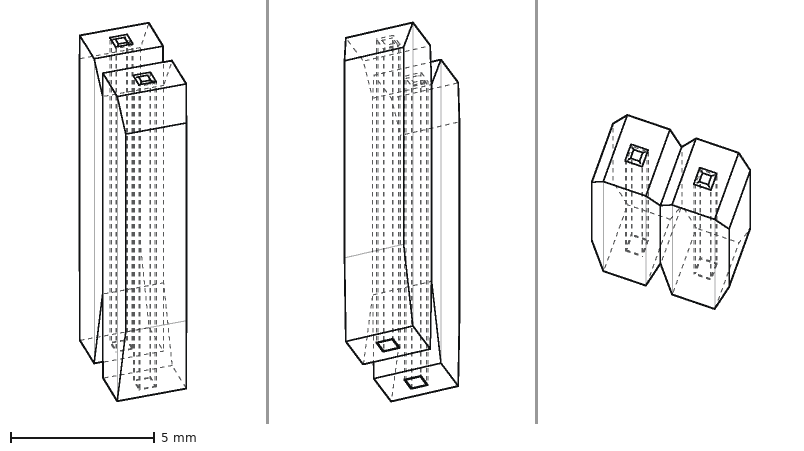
import cadquery as cq

height = 12.7
pitch = 2.54
cell_count = 2
depth = 2.54
bevel_x = 0.48
bevel_y = 0.15
top_taper = 1.3
bottom_taper = 3.18

sleeve_side = 0.64
pin_side = 0.56
pin_tip_side = 0.33
pin_tip_length = 0.08

cell_centers = [(i - (cell_count - 1) / 2) * pitch for i in range(cell_count)]


def octagonal_column():
    """Full-height cell with bevelled vertical edges."""
    half_x = pitch / 2
    half_y = depth / 2
    face_x = half_x - bevel_x
    face_y = half_y - bevel_y
    outline = [
        (-face_x, -half_y),
        (face_x, -half_y),
        (half_x, -face_y),
        (half_x, face_y),
        (face_x, half_y),
        (-face_x, half_y),
        (-half_x, face_y),
        (-half_x, -face_y),
    ]
    return cq.Workplane("XY").polyline(outline).close().extrude(height)


def end_taper_envelope():
    """Front outline of a cell, narrowing toward the top and the bottom."""
    half_x = pitch / 2
    face_x = half_x - bevel_x
    outline = [
        (-face_x, 0),
        (face_x, 0),
        (half_x, bottom_taper),
        (half_x, height - top_taper),
        (face_x, height),
        (-face_x, height),
        (-half_x, height - top_taper),
        (-half_x, bottom_taper),
    ]
    return cq.Workplane("XZ").polyline(outline).close().extrude(depth / 2, both=True)


def make_housing():
    """Joined cells with a square through hole for each sleeve."""
    cell = octagonal_column().intersect(end_taper_envelope())
    housing = cq.Workplane("XY")
    for x in cell_centers:
        housing = housing.union(cell.translate((x, 0, 0)))
    holes = cq.Workplane("XY").pushPoints([(x, 0) for x in cell_centers])
    return housing.cut(holes.rect(sleeve_side, sleeve_side).extrude(height))


def make_pin(x):
    """Square pin whose top end tapers to a smaller square."""
    shank_length = height - pin_tip_length
    shank = cq.Workplane("XY").center(x, 0).rect(pin_side, pin_side).extrude(shank_length)
    return (
        shank.faces(">Z")
        .workplane()
        .rect(pin_side, pin_side)
        .workplane(offset=pin_tip_length)
        .rect(pin_tip_side, pin_tip_side)
        .loft(ruled=True, combine=True)
    )


def make_sleeve(x):
    """Square sleeve that lines the housing hole and fits closely around the pin."""
    block = cq.Workplane("XY").center(x, 0).rect(sleeve_side, sleeve_side).extrude(height)
    return block.cut(make_pin(x))


housing = make_housing()
sleeves = [make_sleeve(x) for x in cell_centers]
pins = [make_pin(x) for x in cell_centers]

result = cq.Compound.makeCompound(
    [housing.solids().val(), *[sleeve.solids().val() for sleeve in sleeves], *[pin.solids().val() for pin in pins]]
)